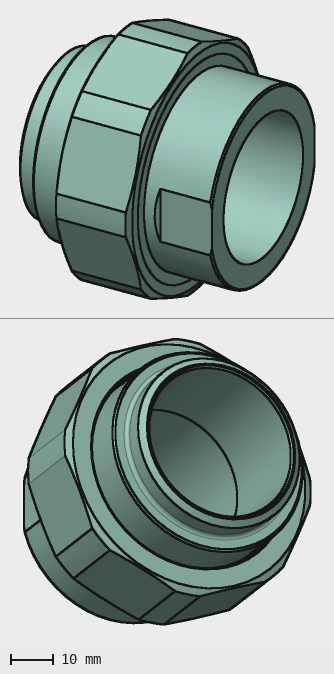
import cadquery as cq
import math

total_length = 54.5
bore_diameter = 37.2
barrel_diameter = 50.0

tip_diameter = 42.4
tip_face_diameter = 38.95
tip_chamfer_length = 1.15
bore_chamfer = 0.5
shoulder_start = 6.5
shoulder_fillet = 1.0
shoulder_chamfer = 0.5
flange_diameter = 54.4
flange_thickness = 7.75

nut_start = 16.4
nut_length = 20.3
nut_diameter = 64.7
nut_across_flats = 61.95
nut_side_count = 8
nut_end_face_diameter = 61.05
nut_chamfer_length = 0.8
nut_lip_diameter = 50.5
nut_lip_length = 3.9
nut_lip_chamfer = 0.5
joint_diameter = 55.8

end_chamfer = 0.45
flat_distance = 48.0
flat_start = 40.6

nut_end = nut_start + nut_length
flange_start = nut_start + nut_lip_length
body_start = flange_start + flange_thickness


def cylinder(diameter, start, end):
    """Solid cylinder along X between two stations."""
    return cq.Workplane("YZ", origin=(start, 0, 0)).circle(diameter / 2).extrude(end - start)


def revolve_about_x(profile):
    """Full turn of a profile given as X and radius."""
    return profile.close().revolve(360, (0, 0, 0), (1, 0, 0))


def make_tailpiece():
    """Sleeve with a chamfered tip, a filleted shoulder and a flange held by the nut lip."""
    bore_radius = bore_diameter / 2
    tip_radius = tip_diameter / 2
    barrel_radius = barrel_diameter / 2
    fillet_start = shoulder_start - shoulder_fillet
    fillet_center_radius = tip_radius + shoulder_fillet
    fillet_reach = shoulder_fillet * math.sqrt(0.5)
    profile = (
        cq.Workplane("XY")
        .moveTo(bore_chamfer, bore_radius)
        .lineTo(0, bore_radius + bore_chamfer)
        .lineTo(0, tip_face_diameter / 2)
        .lineTo(tip_chamfer_length, tip_radius)
        .lineTo(fillet_start, tip_radius)
        .threePointArc(
            (fillet_start + fillet_reach, fillet_center_radius - fillet_reach),
            (shoulder_start, fillet_center_radius),
        )
        .lineTo(shoulder_start, barrel_radius - shoulder_chamfer)
        .lineTo(shoulder_start + shoulder_chamfer, barrel_radius)
        .lineTo(flange_start, barrel_radius)
        .lineTo(flange_start, flange_diameter / 2)
        .lineTo(body_start, flange_diameter / 2)
        .lineTo(body_start, bore_radius)
    )
    return revolve_about_x(profile)


def make_nut():
    """Octagonal nut with rounded corners, conical end chamfers and an inner lip."""
    nut_radius = nut_diameter / 2
    end_face_radius = nut_end_face_diameter / 2
    blank_profile = (
        cq.Workplane("XY")
        .moveTo(nut_start, 0)
        .lineTo(nut_start, end_face_radius)
        .lineTo(nut_start + nut_chamfer_length, nut_radius)
        .lineTo(nut_end - nut_chamfer_length, nut_radius)
        .lineTo(nut_end, end_face_radius)
        .lineTo(nut_end, 0)
    )
    octagon = (
        cq.Workplane("YZ", origin=(nut_start, 0, 0))
        .polygon(nut_side_count, nut_across_flats / math.cos(math.pi / nut_side_count))
        .extrude(nut_length)
    )
    lip_radius = nut_lip_diameter / 2
    lip_hole = revolve_about_x(
        cq.Workplane("XY")
        .moveTo(nut_start, 0)
        .lineTo(nut_start, lip_radius + nut_lip_chamfer)
        .lineTo(nut_start + nut_lip_chamfer, lip_radius)
        .lineTo(flange_start, lip_radius)
        .lineTo(flange_start, 0)
    )
    joint_hole = cylinder(joint_diameter, flange_start, nut_end)
    return revolve_about_x(blank_profile).intersect(octagon).cut(lip_hole).cut(joint_hole)


def make_flat_cutter():
    """Cutter for the flat on the +Y side, starting with a 45 degree run-out."""
    flat_y = flat_distance / 2
    overshoot = barrel_diameter / 2 - flat_y + 0.65
    return (
        cq.Workplane("XY")
        .moveTo(flat_start, flat_y)
        .lineTo(flat_start - overshoot, flat_y + overshoot)
        .lineTo(total_length, flat_y + overshoot)
        .lineTo(total_length, flat_y)
        .close()
        .extrude(barrel_diameter / 2, both=True)
    )


def make_threaded_body():
    """Sleeve with a joint section filling the nut and two wrench flats at its free end."""
    joint = cylinder(joint_diameter, body_start, nut_end)
    barrel = cylinder(barrel_diameter, body_start, total_length).faces(">X").chamfer(end_chamfer)
    body = joint.union(barrel).cut(cylinder(bore_diameter, body_start, total_length))
    flat_cutter = make_flat_cutter()
    return body.cut(flat_cutter).cut(flat_cutter.mirror("XZ"))


tailpiece = make_tailpiece()
nut = make_nut()
threaded_body = make_threaded_body()

result = cq.Compound.makeCompound([tailpiece.val(), nut.val(), threaded_body.val()])